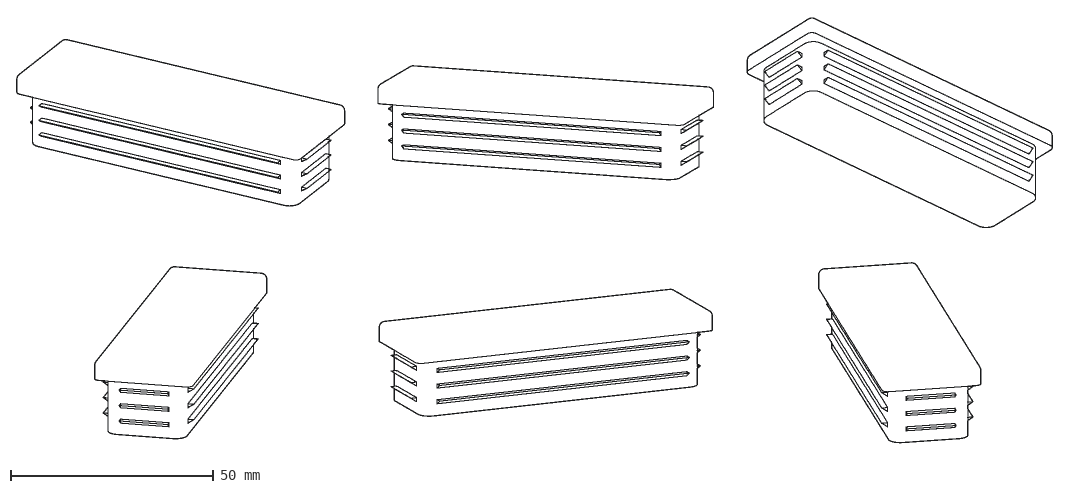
import cadquery as cq

head_length = 80.0
head_width = 25.0
head_height = 5.0
head_radius = 1.5

total_height = 19.5
plug_inset = 2.5
plug_corner_radius = 3.0
plug_length = head_length - 2 * plug_inset
plug_width = head_width - 2 * plug_inset
plug_height = total_height - head_height

fin_count = 3
fin_reach = 1.5
fin_height = 1.0
fin_pitch = 4.0
top_fin_drop = 2.4
fin_end_gap = 0.9
fin_root = 0.4
fin_end_inset = plug_corner_radius + fin_end_gap


def make_plug():
    plug = cq.Workplane("XY").box(plug_length, plug_width, plug_height, centered=(True, True, False))
    return plug.edges("|Z").fillet(plug_corner_radius)


def make_head():
    head = (
        cq.Workplane("XY")
        .workplane(offset=plug_height)
        .box(head_length, head_width, head_height, centered=(True, True, False))
    )
    return head.edges("|Z").fillet(head_radius).faces(">Z").edges().fillet(head_radius)


def make_fin(face_distance, length, top_z):
    """Fin along Y on the +X side, with its root at face_distance from the axis."""
    profile = [
        (face_distance - fin_root, top_z),
        (face_distance + fin_reach, top_z),
        (face_distance, top_z - fin_height),
        (face_distance - fin_root, top_z - fin_height),
    ]
    return cq.Workplane("XZ").polyline(profile).close().extrude(length / 2, both=True)


result = make_plug().union(make_head())

for level in range(fin_count):
    fin_top = plug_height - top_fin_drop - level * fin_pitch
    end_fin = make_fin(plug_length / 2, plug_width - 2 * fin_end_inset, fin_top)
    side_fin = make_fin(plug_width / 2, plug_length - 2 * fin_end_inset, fin_top)
    for fin, angle in ((end_fin, 0), (side_fin, 90), (end_fin, 180), (side_fin, 270)):
        result = result.union(fin.rotate((0, 0, 0), (0, 0, 1), angle))